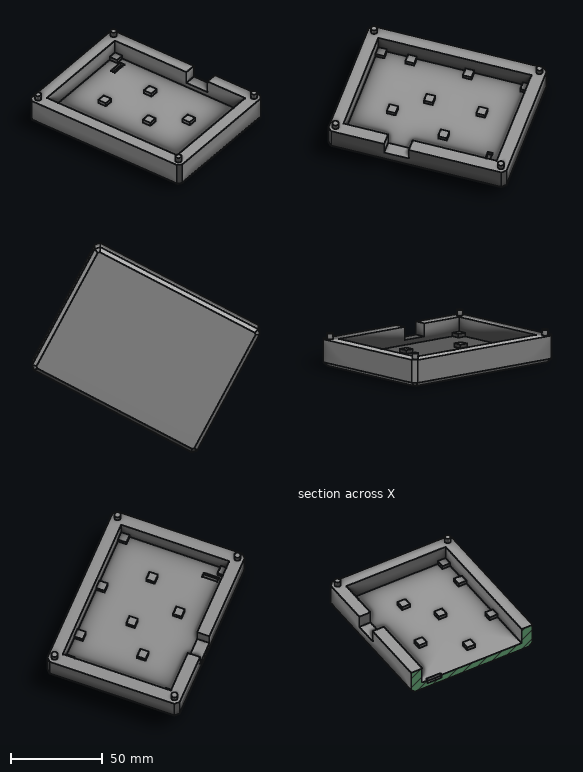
import cadquery as cq

LENGTH = 101.7
WIDTH = 77.4
TOTAL_HEIGHT = 18.0
PIN_HEIGHT = 3.1
BODY_HEIGHT = TOTAL_HEIGHT - PIN_HEIGHT
EDGE_CHAMFER = 2.2

WALL = 7.1
CAVITY_DEPTH = 10.1
CAVITY_LENGTH = LENGTH - 2 * WALL
CAVITY_WIDTH = WIDTH - 2 * WALL
FLOOR_HEIGHT = BODY_HEIGHT - CAVITY_DEPTH

PIN_DIAMETER = 3.4
PIN_INSET = 3.7

PAD_SIZE = 5.0
PAD_HEIGHT = 2
CORNER_PAD_X = (CAVITY_LENGTH - PAD_SIZE) / 2
EDGE_PAD_Y = (CAVITY_WIDTH - PAD_SIZE) / 2
CORNER_PADS = [(sx * CORNER_PAD_X, sy * EDGE_PAD_Y) for sx in (-1, 1) for sy in (-1, 1)]
FRONT_WALL_PADS = [(-8.5, -EDGE_PAD_Y), (24.2, -EDGE_PAD_Y)]
INNER_PADS = [(-8.5, 15.9), (23.4, 7.3), (-23.6, -5.7), (6.3, -5.7)]

NOTCH_LENGTH = 14.0
NOTCH_X = 11.3
NOTCH_DEPTH = 7.3

SLOT_LENGTH = 2.7
SLOT_WIDTH = 9.0
SLOT_DEPTH = 2
SLOT_CENTRE = (-36.1, 23.6)


def box_at(centre, length, width, bottom, height):
    """Upright box with its XY centre and bottom level given."""
    return (
        cq.Workplane("XY", origin=(*centre, bottom))
        .box(length, width, height, centered=(True, True, False))
    )


def make_body():
    block = box_at((0, 0), LENGTH, WIDTH, 0, BODY_HEIGHT)
    return block.edges("|Z").chamfer(EDGE_CHAMFER).faces("<Z").edges().chamfer(EDGE_CHAMFER)


def make_cavity():
    return box_at((0, 0), CAVITY_LENGTH, CAVITY_WIDTH, FLOOR_HEIGHT, CAVITY_DEPTH)


def make_notch():
    wall_centre = (NOTCH_X, (WIDTH - WALL) / 2)
    return box_at(wall_centre, NOTCH_LENGTH, WALL, BODY_HEIGHT - NOTCH_DEPTH, NOTCH_DEPTH)


def make_slot():
    return box_at(SLOT_CENTRE, SLOT_LENGTH, SLOT_WIDTH, FLOOR_HEIGHT - SLOT_DEPTH, SLOT_DEPTH)


def make_pins():
    return (
        cq.Workplane("XY", origin=(0, 0, BODY_HEIGHT))
        .rect(LENGTH - 2 * PIN_INSET, WIDTH - 2 * PIN_INSET, forConstruction=True)
        .vertices()
        .circle(PIN_DIAMETER / 2)
        .extrude(PIN_HEIGHT)
    )


result = make_body().cut(make_cavity()).cut(make_notch()).cut(make_slot()).union(make_pins())

for pad_centre in CORNER_PADS + FRONT_WALL_PADS + INNER_PADS:
    result = result.union(box_at(pad_centre, PAD_SIZE, PAD_SIZE, FLOOR_HEIGHT, PAD_HEIGHT))